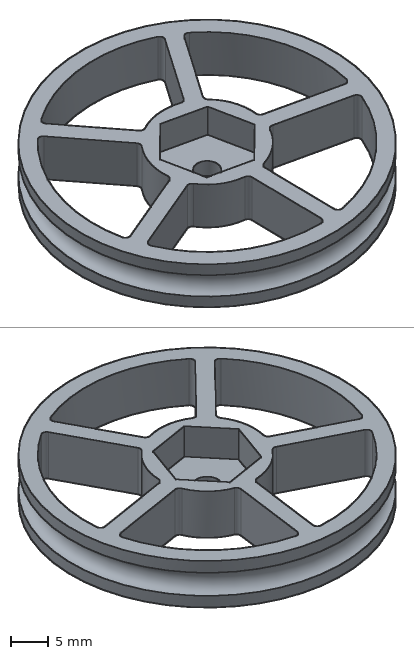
import cadquery as cq
import math

wheel_diameter = 50.9
wheel_width = 7.65
rim_inner_diameter = 45.7
hub_diameter = 17.7

groove_radius = 1.9

spoke_count = 5
spoke_width = 2.65
first_spoke_angle = 90.0
window_corner_radius = 0.75

bore_diameter = 3.8
hex_across_flats = 12.7
hex_depth = 5.0


def make_disc(diameter):
    return cq.Workplane("XY").circle(diameter / 2).extrude(wheel_width)


def make_spoke(angle):
    length = wheel_diameter / 2
    return (
        cq.Workplane("XY")
        .center(length / 2, 0)
        .rect(length, spoke_width)
        .extrude(wheel_width)
        .rotate((0, 0, 0), (0, 0, 1), angle)
    )


def make_windows():
    """Ring between hub and rim, split by the spokes, with rounded corners."""
    windows = make_disc(rim_inner_diameter).cut(make_disc(hub_diameter))
    for index in range(spoke_count):
        windows = windows.cut(make_spoke(first_spoke_angle + index * 360 / spoke_count))
    return windows.edges("|Z").fillet(window_corner_radius)


def make_groove():
    return (
        cq.Workplane("XZ")
        .center(wheel_diameter / 2, wheel_width / 2)
        .circle(groove_radius)
        .revolve(360, (-wheel_diameter / 2, 0), (-wheel_diameter / 2, 1))
    )


def make_hex_pocket():
    across_corners = hex_across_flats / math.cos(math.pi / 6)
    return (
        cq.Workplane("XY")
        .workplane(offset=wheel_width - hex_depth)
        .polygon(6, across_corners)
        .extrude(hex_depth)
        .rotate((0, 0, 0), (0, 0, 1), 90)
    )


result = (
    make_disc(wheel_diameter)
    .cut(make_windows())
    .cut(make_groove())
    .cut(make_hex_pocket())
    .cut(make_disc(bore_diameter))
)